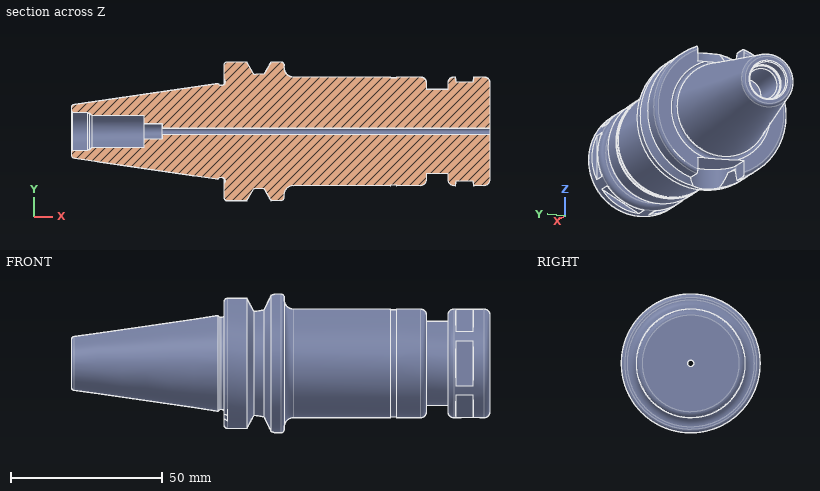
import cadquery as cq
import math


shank_length = 48.4
gauge_diameter = 31.75
taper_ratio = 7 / 24
tip_fillet = 1.0
gauge_chamfer_length = 0.7
neck_diameter = 30.6

flange_start = 2.0
flange_end = 22.0
flange_diameter = 46.0
flange_corner_radius = 1.2
undercut_start = 1.3
undercut_radius = 1.1
groove_center = 13.6
groove_floor_width = 3.4
groove_floor_diameter = 38.0
groove_flank_angle = 30.0

slot_width = 16.1
slot_end = 19.0
slot_floor_radius = 16.3

body_diameter = 36.0
body_root_radius = 3.0
body_end = 69.0
body_end_radius = 2.0
ring_groove_start = 57.0
ring_groove_width = 2.0
ring_groove_diameter = 35.5

front_end = 90.0
front_neck_diameter = 28.0
nut_start = 76.0
nut_diameter = 36.0
nut_edge_radius = 2.0
wrench_flat_count = 6
wrench_flat_start = 78.8
wrench_flat_width = 5.5
wrench_flat_radius = 16.4
wrench_flat_wall_angle = 10.0

bore_mouth_diameter = 13.32
bore_mouth_chamfer = 0.4
pilot_diameter = 12.5
pilot_depth = 5.3
lead_in_diameter = 12.0
lead_in_depth = 6.0
thread_diameter = 10.5
thread_start_depth = 6.8
thread_depth = 24.0
nozzle_diameter = 5.0
nozzle_depth = 30.0
coolant_diameter = 2.0


def cylinder(start, end, diameter):
    """Solid cylinder on the X axis between two axial positions."""
    return cq.Workplane("YZ", origin=(start, 0, 0)).circle(diameter / 2).extrude(end - start)


def shank():
    gauge_radius = gauge_diameter / 2
    tip_radius = gauge_radius - shank_length * taper_ratio / 2
    neck_radius = neck_diameter / 2
    profile = [
        (-shank_length, 0),
        (-shank_length, tip_radius),
        (0, gauge_radius),
        (gauge_chamfer_length, neck_radius),
        (undercut_start, neck_radius),
        (undercut_start, 0),
    ]
    solid = cq.Workplane("XY").polyline(profile).close().revolve(360, (0, 0, 0), (1, 0, 0))
    return solid.faces("<X").edges().fillet(tip_fillet)


def flange():
    """Flange with its tool changer groove, round front undercut and rounded root into the body."""
    outer = flange_diameter / 2
    undercut_center_radius = neck_diameter / 2 + undercut_radius
    undercut_rim_radius = undercut_center_radius + math.sqrt(
        undercut_radius**2 - (flange_start - undercut_start) ** 2
    )
    groove_radius = groove_floor_diameter / 2
    body_radius = body_diameter / 2
    half_floor = groove_floor_width / 2
    half_mouth = half_floor + (outer - groove_radius) * math.tan(math.radians(groove_flank_angle))
    corner = flange_corner_radius
    bevel = corner * (1 - math.sqrt(0.5))
    root = body_root_radius
    root_bevel = root * (1 - math.sqrt(0.5))
    return (
        cq.Workplane("XY")
        .moveTo(undercut_start, 0)
        .lineTo(undercut_start, neck_diameter / 2)
        .threePointArc(
            (undercut_start + undercut_radius, undercut_center_radius), (flange_start, undercut_rim_radius)
        )
        .lineTo(flange_start, outer - corner)
        .threePointArc((flange_start + bevel, outer - bevel), (flange_start + corner, outer))
        .lineTo(groove_center - half_mouth, outer)
        .lineTo(groove_center - half_floor, groove_radius)
        .lineTo(groove_center + half_floor, groove_radius)
        .lineTo(groove_center + half_mouth, outer)
        .lineTo(flange_end - corner, outer)
        .threePointArc((flange_end - bevel, outer - bevel), (flange_end, outer - corner))
        .lineTo(flange_end, body_radius + root)
        .threePointArc(
            (flange_end + root_bevel, body_radius + root_bevel), (flange_end + root, body_radius)
        )
        .lineTo(flange_end + root, 0)
        .close()
        .revolve(360, (0, 0, 0), (1, 0, 0))
    )


def body():
    solid = cylinder(flange_end, body_end, body_diameter).faces(">X").edges().fillet(body_end_radius)
    ring_groove_end = ring_groove_start + ring_groove_width
    ring = cylinder(ring_groove_start, ring_groove_end, body_diameter).cut(
        cylinder(ring_groove_start, ring_groove_end, ring_groove_diameter)
    )
    return solid.cut(ring)


def collet_nut():
    solid = cylinder(nut_start, front_end, nut_diameter)
    solid = solid.faces("<X or >X").edges().fillet(nut_edge_radius)
    flat_depth = nut_diameter / 2 - wrench_flat_radius
    flat_center = wrench_flat_start + wrench_flat_width / 2
    cutter = (
        cq.Workplane("XY", origin=(flat_center, 0, wrench_flat_radius))
        .rect(wrench_flat_width, nut_diameter)
        .extrude(flat_depth, taper=-wrench_flat_wall_angle)
    )
    cutter = cutter.rotate((0, 0, 0), (1, 0, 0), 90)
    for index in range(wrench_flat_count):
        solid = solid.cut(cutter.rotate((0, 0, 0), (1, 0, 0), index * 360 / wrench_flat_count))
    return solid


def driving_slot():
    """Cutter for the +Z slot: open towards the shank, with a round end."""
    half_width = slot_width / 2
    round_center = slot_end - half_width
    return (
        cq.Workplane("XY", origin=(0, 0, slot_floor_radius))
        .moveTo(0, -half_width)
        .lineTo(round_center, -half_width)
        .threePointArc((slot_end, 0), (round_center, half_width))
        .lineTo(0, half_width)
        .close()
        .extrude(flange_diameter / 2)
    )


def pull_stud_bore():
    """Cutter for the stepped tapped bore in the tip and the coolant hole through the part."""
    steps = [
        (0, bore_mouth_diameter),
        (bore_mouth_chamfer, pilot_diameter),
        (pilot_depth, pilot_diameter),
        (pilot_depth, lead_in_diameter),
        (lead_in_depth, lead_in_diameter),
        (thread_start_depth, thread_diameter),
        (thread_depth, thread_diameter),
        (thread_depth, nozzle_diameter),
        (nozzle_depth, nozzle_diameter),
    ]
    profile = [(-shank_length, 0)]
    profile += [(depth - shank_length, diameter / 2) for depth, diameter in steps]
    profile.append((nozzle_depth - shank_length, 0))
    bore = cq.Workplane("XY").polyline(profile).close().revolve(360, (0, 0, 0), (1, 0, 0))
    return bore.union(cylinder(-shank_length, front_end, coolant_diameter))


result = shank().union(flange()).union(body())
result = result.union(cylinder(body_end, nut_start, front_neck_diameter)).union(collet_nut())

slot = driving_slot()
result = result.cut(slot).cut(slot.rotate((0, 0, 0), (1, 0, 0), 180))
result = result.cut(pull_stud_bore())